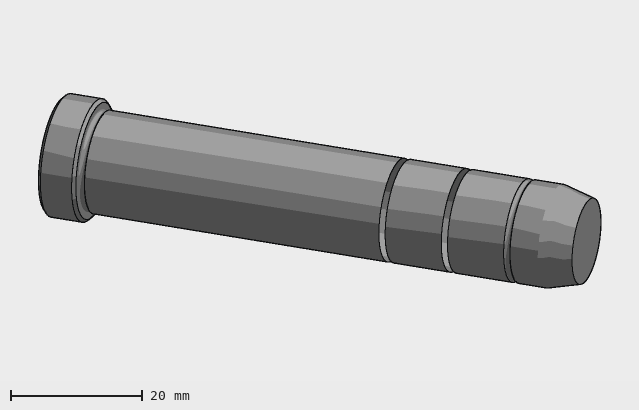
import cadquery as cq
import math

LENGTH = 85.0
HEAD_DIAMETER = 19.0
SHANK_DIAMETER = 16.0

HEAD_LENGTH = 6.0
HEAD_CHAMFER = 0.5

GROOVE_RADIUS = 0.5
GROOVE_COUNT = 3
GROOVE_PITCH = 10.0
FIRST_GROOVE_FROM_HEAD_FACE = 54.9

TAPER_LENGTH = 5.0
TAPER_ANGLE = 15.0

HEAD_FACE_X = -LENGTH / 2
SHANK_RADIUS = SHANK_DIAMETER / 2


def cylinder(start_x, length, diameter):
    """Solid cylinder along +X from start_x."""
    return cq.Workplane("YZ", origin=(start_x, 0, 0)).circle(diameter / 2).extrude(length)


def head():
    """Flange with both rims chamfered."""
    return cylinder(HEAD_FACE_X, HEAD_LENGTH, HEAD_DIAMETER).edges("%CIRCLE").chamfer(HEAD_CHAMFER)


def shank():
    """Straight shank ending in a conical tip."""
    taper_drop = TAPER_LENGTH * math.tan(math.radians(TAPER_ANGLE))
    body = cylinder(HEAD_FACE_X, LENGTH, SHANK_DIAMETER)
    return body.faces(">X").edges().chamfer(TAPER_LENGTH, taper_drop)


def groove(centre_x):
    """Ring that cuts a half-round groove around the shank."""
    return (
        cq.Workplane("XY")
        .center(centre_x, SHANK_RADIUS)
        .circle(GROOVE_RADIUS)
        .revolve(360, (0, -SHANK_RADIUS, 0), (1, -SHANK_RADIUS, 0))
    )


groove_centres = [HEAD_FACE_X + HEAD_LENGTH + GROOVE_RADIUS]
for index in range(GROOVE_COUNT):
    groove_centres.append(HEAD_FACE_X + FIRST_GROOVE_FROM_HEAD_FACE + index * GROOVE_PITCH)

result = head().union(shank())
for centre_x in groove_centres:
    result = result.cut(groove(centre_x))